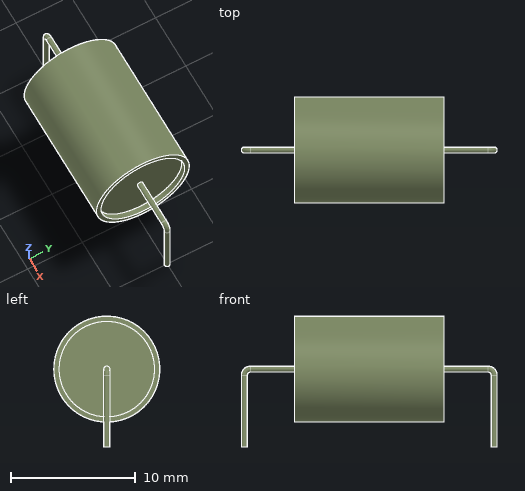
import cadquery as cq

overall_length = 20.5
overall_height = 10.5
body_diameter = 8.5
body_length = 12.0
recess_diameter = 7.65
recess_depth = 0.5
lead_diameter = 0.5
bend_radius = 0.5

body_end = body_length / 2
recess_floor = body_end - recess_depth
lead_x = (overall_length - lead_diameter) / 2
lead_bottom = body_diameter / 2 - overall_height


def make_body():
    """Cylindrical body with a shallow round recess in each end."""
    body = (
        cq.Workplane("YZ", origin=(-body_end, 0, 0))
        .circle(body_diameter / 2)
        .extrude(body_length)
    )
    for side in (-1, 1):
        recess = (
            cq.Workplane("YZ", origin=(side * body_end, 0, 0))
            .circle(recess_diameter / 2)
            .extrude(-side * recess_depth)
        )
        body = body.cut(recess)
    return body


def make_right_lead():
    """Round wire leaving the +X end along the axis, then bent down."""
    bend_start = lead_x - bend_radius
    lead_root = recess_floor - lead_diameter
    lead_circle = cq.Workplane("YZ", origin=(lead_root, 0, 0)).circle(lead_diameter / 2)
    path = (
        cq.Workplane("XZ")
        .moveTo(lead_root, 0)
        .lineTo(bend_start, 0)
        .tangentArcPoint((lead_x, -bend_radius), relative=False)
        .lineTo(lead_x, lead_bottom)
    )
    return lead_circle.sweep(path)


right_lead = make_right_lead()
left_lead = right_lead.mirror("YZ")
result = make_body().union(right_lead).union(left_lead)